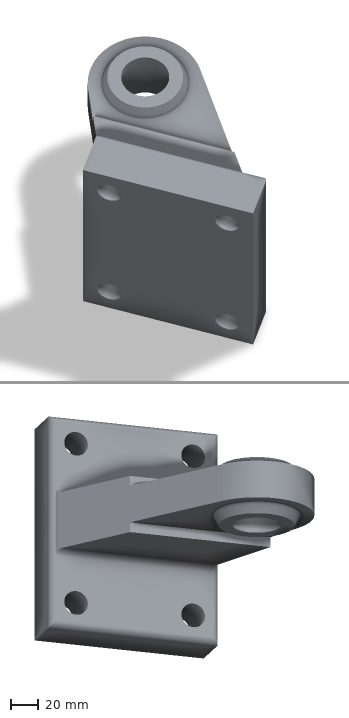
import cadquery as cq
import math

plate_width = 130.0
plate_height = 162.0
plate_thickness = 35.0
bolt_hole_diameter = 18.0
bolt_hole_inset = 20.0
edge_radius = 4.5

overall_width = 167.0
overall_depth = 176.9
eye_radius = 42.0
eye_x = plate_width - overall_width + eye_radius
eye_y = overall_depth - eye_radius
eye_thickness = 28.1
bore_diameter = 35.0

boss_base_radius = 32.0
boss_top_radius = 27.6

arm_thickness = 43.2
arm_step_y = 90.0
arm_root_inset = 4.5
boss_height = (arm_thickness - eye_thickness) / 2


def eye_tangent_point(root_x, side):
    """Where the line from the arm root touches the eye; side is -1 for left, +1 for right."""
    dx = root_x - eye_x
    dy = plate_thickness - eye_y
    angle = math.atan2(dy, dx) + side * math.acos(eye_radius / math.hypot(dx, dy))
    return eye_x + eye_radius * math.cos(angle), eye_y + eye_radius * math.sin(angle)


def make_plate():
    plate = cq.Workplane("XY").box(
        plate_width, plate_thickness, plate_height, centered=(False, False, True)
    )
    return plate.faces(">Y").edges().fillet(edge_radius)


def make_arm_profile(thickness):
    """Arm outline with straight sides tangent to the eye, extruded symmetrically about Z = 0."""
    left_root = arm_root_inset
    right_root = plate_width - arm_root_inset
    return (
        cq.Workplane("XY")
        .moveTo(left_root, plate_thickness)
        .lineTo(*eye_tangent_point(left_root, -1))
        .threePointArc((eye_x, overall_depth), eye_tangent_point(right_root, 1))
        .lineTo(right_root, plate_thickness)
        .close()
        .extrude(thickness / 2, both=True)
    )


def make_root_fillet(side):
    """Concave fillet between the plate and one flat face of the arm, cut to the arm outline."""
    arm_face = arm_thickness / 2
    fillet_end_y = plate_thickness + edge_radius
    fillet_end_z = arm_face + edge_radius
    diagonal = edge_radius * (1 - math.sqrt(0.5))
    fillet = (
        cq.Workplane("YZ")
        .moveTo(plate_thickness, side * arm_face)
        .lineTo(fillet_end_y, side * arm_face)
        .threePointArc(
            (plate_thickness + diagonal, side * (arm_face + diagonal)),
            (plate_thickness, side * fillet_end_z),
        )
        .close()
        .extrude(plate_width)
    )
    return fillet.intersect(make_arm_profile(2 * fillet_end_z))


def make_boss(side):
    """Truncated cone standing on one face of the eye."""
    cone = cq.Solid.makeCone(
        boss_base_radius,
        boss_top_radius,
        boss_height,
        pnt=cq.Vector(eye_x, eye_y, side * eye_thickness / 2),
        dir=cq.Vector(0, 0, side),
    )
    return cq.Workplane(obj=cone)


thick_zone = cq.Workplane("XY").box(
    plate_width * 2, arm_step_y, arm_thickness, centered=(True, False, True)
).translate((plate_width / 2, 0, 0))
thick_arm = make_arm_profile(arm_thickness).intersect(thick_zone)

body = make_plate().union(make_arm_profile(eye_thickness)).union(thick_arm)
for face_side in (-1, 1):
    body = body.union(make_root_fillet(face_side)).union(make_boss(face_side))

bore = (
    cq.Workplane("XY")
    .center(eye_x, eye_y)
    .circle(bore_diameter / 2)
    .extrude(arm_thickness / 2, both=True)
)

bolt_holes = (
    cq.Workplane("XZ")
    .center(plate_width / 2, 0)
    .rect(plate_width - 2 * bolt_hole_inset, plate_height - 2 * bolt_hole_inset, forConstruction=True)
    .vertices()
    .circle(bolt_hole_diameter / 2)
    .extrude(-plate_thickness)
)

result = body.cut(bore).cut(bolt_holes)